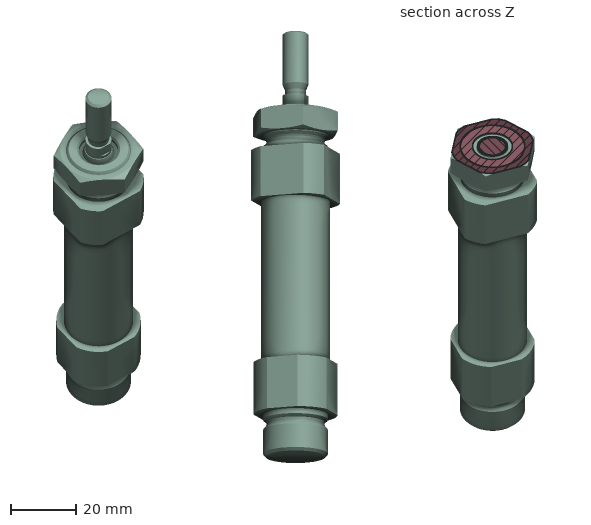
import cadquery as cq
import math

TUBE_DIAMETER = 21.3
BLOCK_WIDTH = 24.0
LOWER_BLOCK_ROUND = 26.0
UPPER_BLOCK_ROUND = 27.8
LOWER_BLOCK_BOTTOM = 13.2
LOWER_BLOCK_TOP = 29.3
UPPER_BLOCK_BOTTOM = 80.0
UPPER_BLOCK_TOP = 95.7
THREAD_DIAMETER = 20.0
THREAD_END_DIAMETER = 18.4
THREAD_END_HEIGHT = 0.9
GROOVE_DIAMETER = 18.0
COLLAR_HEIGHT = 1.6
COLLAR_CONE_HEIGHT = 0.8
GROOVE_HEIGHT = 0.9
THREAD_RUNOUT_HEIGHT = 0.5
THREAD_CONE_HEIGHT = 0.9
HOUSING_TOP = UPPER_BLOCK_TOP + LOWER_BLOCK_BOTTOM

RECESS_MOUTH_DIAMETER = 13.3
RECESS_DIAMETER = 12.1
RECESS_CONE_HEIGHT = 0.5
RECESS_DEPTH = 1.6
LIP_TOP_DIAMETER = 8.5
LIP_ROOT_DIAMETER = 9.8

ROD_DIAMETER = 8.0
ROD_NECK_DIAMETER = 6.4
ROD_TOP = 133.1
ROD_BOTTOM = UPPER_BLOCK_BOTTOM
ROD_TIP_HEIGHT = 0.5
ROD_THREAD_BOTTOM = 116.9
ROD_NECK_TOP = 115.0
ROD_SHOULDER = 113.4
FLAT_BOTTOM = 110.0
FLAT_WIDTH = 7.0

NUT_WIDTH = 24.0
NUT_FACE_DIAMETER = 23.5
NUT_BOTTOM = 100.8
NUT_HEIGHT = 7.5
NUT_CHAMFER_ANGLE = 20


def revolve_profile(points):
    """Revolve (radius, z) points about the Z axis."""
    return cq.Workplane("XZ").polyline(points).close().revolve(360, (0, 0), (0, 1))


def cylinder(diameter, bottom, top):
    return cq.Workplane("XY").workplane(offset=bottom).circle(diameter / 2).extrude(top - bottom)


def make_block(round_diameter, bottom, top):
    """Square block whose corners are turned to a round."""
    square = cq.Workplane("XY").workplane(offset=bottom).rect(BLOCK_WIDTH, BLOCK_WIDTH).extrude(top - bottom)
    return square.intersect(cylinder(round_diameter, bottom, top))


def make_neck():
    """Upper threaded neck with a relief groove next to the block."""
    collar_top = UPPER_BLOCK_TOP + COLLAR_HEIGHT
    groove_bottom = collar_top + COLLAR_CONE_HEIGHT
    groove_top = groove_bottom + GROOVE_HEIGHT
    runout_top = groove_top + THREAD_RUNOUT_HEIGHT
    thread_bottom = runout_top + THREAD_CONE_HEIGHT
    return revolve_profile([
        (0, UPPER_BLOCK_TOP),
        (THREAD_DIAMETER / 2, UPPER_BLOCK_TOP),
        (THREAD_DIAMETER / 2, collar_top),
        (GROOVE_DIAMETER / 2, groove_bottom),
        (GROOVE_DIAMETER / 2, groove_top),
        (THREAD_END_DIAMETER / 2, runout_top),
        (THREAD_DIAMETER / 2, thread_bottom),
        (THREAD_DIAMETER / 2, HOUSING_TOP - THREAD_END_HEIGHT),
        (THREAD_END_DIAMETER / 2, HOUSING_TOP),
        (0, HOUSING_TOP),
    ])


def make_recess():
    """Ring-shaped recess around a tapered lip that touches the rod."""
    floor = HOUSING_TOP - RECESS_DEPTH
    return revolve_profile([
        (LIP_TOP_DIAMETER / 2, HOUSING_TOP),
        (LIP_ROOT_DIAMETER / 2, floor),
        (RECESS_DIAMETER / 2, floor),
        (RECESS_DIAMETER / 2, HOUSING_TOP - RECESS_CONE_HEIGHT),
        (RECESS_MOUTH_DIAMETER / 2, HOUSING_TOP),
    ])


def make_housing():
    upper_neck = make_neck()
    lower_neck = upper_neck.mirror("XY", (0, 0, HOUSING_TOP / 2))
    tube = cylinder(TUBE_DIAMETER, LOWER_BLOCK_TOP, UPPER_BLOCK_BOTTOM)
    body = make_block(LOWER_BLOCK_ROUND, LOWER_BLOCK_BOTTOM, LOWER_BLOCK_TOP)
    body = body.union(tube)
    body = body.union(make_block(UPPER_BLOCK_ROUND, UPPER_BLOCK_BOTTOM, UPPER_BLOCK_TOP))
    body = body.union(upper_neck).union(lower_neck)
    return body.cut(make_recess()).cut(cylinder(ROD_DIAMETER, ROD_BOTTOM, HOUSING_TOP))


def make_rod():
    """Rod with a threaded end, a narrow neck and two wrench flats facing X."""
    rod = revolve_profile([
        (0, ROD_BOTTOM),
        (ROD_DIAMETER / 2, ROD_BOTTOM),
        (ROD_DIAMETER / 2, ROD_SHOULDER),
        (ROD_NECK_DIAMETER / 2, ROD_SHOULDER),
        (ROD_NECK_DIAMETER / 2, ROD_NECK_TOP),
        (ROD_DIAMETER / 2, ROD_THREAD_BOTTOM),
        (ROD_DIAMETER / 2, ROD_TOP - ROD_TIP_HEIGHT),
        (ROD_NECK_DIAMETER / 2, ROD_TOP),
        (0, ROD_TOP),
    ])
    flat_height = ROD_SHOULDER - FLAT_BOTTOM
    for side in (-1, 1):
        cutter = (
            cq.Workplane("XY")
            .workplane(offset=FLAT_BOTTOM)
            .center(side * (FLAT_WIDTH + ROD_DIAMETER) / 2, 0)
            .rect(ROD_DIAMETER, ROD_DIAMETER)
            .extrude(flat_height)
        )
        rod = rod.cut(cutter)
    return rod


def make_nut():
    """Hexagon with corners on the X axis and conical chamfers on both faces."""
    corner_diameter = NUT_WIDTH / math.cos(math.pi / 6)
    corner_radius = corner_diameter / 2
    face_radius = NUT_FACE_DIAMETER / 2
    chamfer_height = (corner_radius - face_radius) * math.tan(math.radians(NUT_CHAMFER_ANGLE))
    nut_top = NUT_BOTTOM + NUT_HEIGHT
    hexagon = cq.Workplane("XY").workplane(offset=NUT_BOTTOM).polygon(6, corner_diameter).extrude(NUT_HEIGHT)
    chamfered_round = revolve_profile([
        (0, NUT_BOTTOM),
        (face_radius, NUT_BOTTOM),
        (corner_radius, NUT_BOTTOM + chamfer_height),
        (corner_radius, nut_top - chamfer_height),
        (face_radius, nut_top),
        (0, nut_top),
    ])
    nut = hexagon.intersect(chamfered_round)
    return nut.cut(cylinder(THREAD_DIAMETER, NUT_BOTTOM, nut_top))


housing = make_housing()
rod = make_rod()
nut = make_nut()
result = cq.Compound.makeCompound([housing.val(), rod.val(), nut.val()])